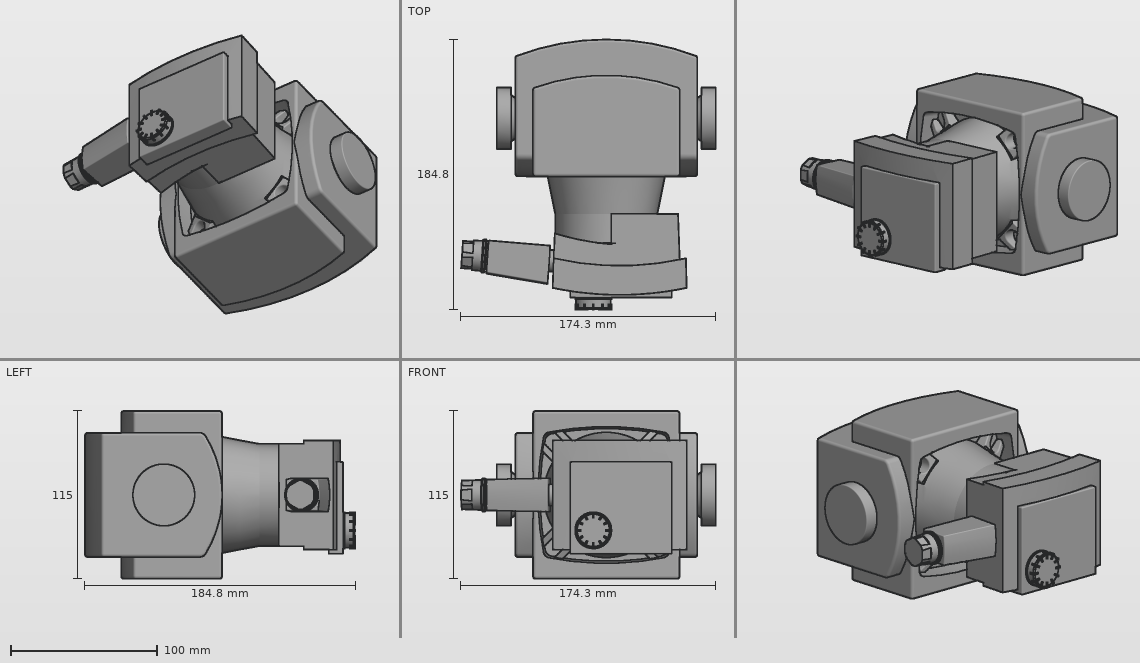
import cadquery as cq
import math


WIDE_LENGTH = 124.5
WIDE_HEIGHT = 85.0
WIDE_SIDE_REAR_Y = 42.3
WIDE_REAR_Y = 54.0
WIDE_SIDE_FRONT_Y = -27.2
WIDE_FRONT_CORNER_RADIUS = 4.8
TALL_LENGTH = 100.4
TALL_HEIGHT = 115.0
TALL_SIDE_REAR_Y = 20.5
TALL_REAR_Y = 29.4
SHELL_FRONT_Y = -40.0
SHELL_FILLET = 2.0
PICK_MARGIN = 1.8

CAVITY_CORNER = 42.3
CAVITY_BULGE = 46.8
CAVITY_CORNER_RADIUS = 5.2
CAVITY_DEPTH = 13.7
CAVITY_DRAFT = 6.0
CAVITY_FLOOR_Y = SHELL_FRONT_Y + CAVITY_DEPTH

PIPE_HALF_LENGTH = 75.0
PIPE_DIAMETER = 27.0
FLANGE_DIAMETER = 42.3
FLANGE_THICKNESS = 10.0
FLANGE_FILLET = 0.7
COLLAR_DIAMETER = 31.8
COLLAR_LENGTH = 3.5

MOTOR_DIAMETER = 70.0
MOTOR_BASE_DIAMETER = 85.8
MOTOR_CONE_END_Y = -65.5
MOTOR_END_Y = -85.4
EAR_COUNT = 4
EAR_WIDTH = 19.5
EAR_SLOT_WIDTH = 10.3
EAR_SLOT_START = 42.9
EAR_TOP_RADIUS = 41.8
EAR_TIP_RADIUS = 62.8
EAR_TOP_HEIGHT = 9.2
EAR_TIP_HEIGHT = 1.8
EAR_EDGE_FILLET = 1.0

MODULE_REAR_HEIGHT = 70.2
MODULE_FRONT_HEIGHT = 74.7
MODULE_BOW_X = 9.6
MODULE_STEP_Y = -95.7
MODULE_STEP_BOW_Y = -100.9
MODULE_FACE_Y = -116.0
MODULE_FACE_BOW_Y = -120.9
MODULE_LEFT_REAR = (-35.3, -78.7)
MODULE_LEFT_FRONT = (-36.8, MODULE_FACE_Y)
REAR_RIGHT_X = 49.2
REAR_RIGHT_SLANT = 1.8
FRONT_RIGHT_STEP_X = 54.5
FRONT_RIGHT_FACE_X = 55.0
NOTCH_X = 3.0
NOTCH_FRONT_Y = -86.1
NOTCH_MIDDLE = (-16.0, -83.5)
NOTCH_FILLET = 1.0

COVER_LEFT_X = -24.8
COVER_RIGHT_X = 45.0
COVER_BOTTOM_Z = -40.3
COVER_TOP_Z = 22.5
COVER_BACK_Y = -112.7
COVER_FRONT_Y = -122.7
COVER_FILLET = 1.0

KNOB_X = -8.9
KNOB_Z = -24.2
KNOB_DIAMETER = 24.0
KNOB_RIM_DIAMETER = 25.0
KNOB_RIM_THICKNESS = 1.1
KNOB_END_Y = -130.8
KNOB_CHAMFER = 1.0
TICK_COUNT = 12
TICK_WIDTH = 1.0
TICK_LENGTH = 3.7
TICK_INNER_RADIUS = 8.5
TICK_RISE = 0.4

CONNECTOR_X = -36.0
CONNECTOR_Y = -97.5
CONNECTOR_TILT = 4.0
STUB_DIAMETER = 15.0
STUB_DEPTH = 1.8
BODY_START = 3.0
BODY_END = 45.3
BODY_BASE_REAR = 10.3
BODY_BASE_FRONT = -15.2
BODY_BASE_HEIGHT = 23.0
BODY_TIP_REAR = 10.9
BODY_TIP_FRONT = -10.9
BODY_TIP_HEIGHT = 21.3
BODY_BOW = 1.1
BODY_FILLET = 0.7
NECK_DIAMETER = 17.0
RING_START = 46.4
RING_THICKNESS = 2.8
RING_DIAMETER = 23.0
RING_CHAMFER = 0.7
NUT_START = RING_START + RING_THICKNESS
NUT_END = 62.8
NUT_BASE_DIAMETER = 20.9
NUT_TIP_DIAMETER = 20.0
NUT_FLAT_COUNT = 6
NUT_FLAT_LENGTH = 7.4
NUT_FLAT_DISTANCE = 9.5


def cylinder_y(diameter, start_y, end_y):
    """Cylinder along Y, centred on the motor axis."""
    disc = cq.Workplane("XZ", origin=(0, start_y, 0)).circle(diameter / 2)
    return disc.extrude(start_y - end_y)


def bowed_block(length, height, side_rear_y, rear_y):
    """Block with a flat front and a rear bowed outwards."""
    half = length / 2
    return (
        cq.Workplane("XY", origin=(0, 0, -height / 2))
        .moveTo(-half, SHELL_FRONT_Y)
        .lineTo(half, SHELL_FRONT_Y)
        .lineTo(half, side_rear_y)
        .threePointArc((0, rear_y), (-half, side_rear_y))
        .close()
        .extrude(height)
    )


def make_wide_block():
    block = bowed_block(WIDE_LENGTH, WIDE_HEIGHT, WIDE_SIDE_REAR_Y, WIDE_REAR_Y)
    half = WIDE_HEIGHT / 2
    side_outline = (
        cq.Workplane("YZ", origin=(-WIDE_LENGTH / 2, 0, 0))
        .moveTo(WIDE_REAR_Y, -half)
        .lineTo(WIDE_REAR_Y, half)
        .lineTo(WIDE_SIDE_FRONT_Y, half)
        .threePointArc((SHELL_FRONT_Y, 0), (WIDE_SIDE_FRONT_Y, -half))
        .close()
        .extrude(WIDE_LENGTH)
    )
    front_corners = cq.selectors.BoxSelector(
        (-WIDE_LENGTH, WIDE_SIDE_FRONT_Y - PICK_MARGIN, -WIDE_HEIGHT),
        (WIDE_LENGTH, WIDE_SIDE_FRONT_Y + PICK_MARGIN, WIDE_HEIGHT),
    )
    side_outline = side_outline.edges("|X").edges(front_corners).fillet(WIDE_FRONT_CORNER_RADIUS)
    return block.intersect(side_outline).edges().fillet(SHELL_FILLET)


def make_tall_block():
    block = bowed_block(TALL_LENGTH, TALL_HEIGHT, TALL_SIDE_REAR_Y, TALL_REAR_Y)
    return block.edges().fillet(SHELL_FILLET)


def make_cavity():
    """Square pocket with outward-bowed sides, rounded corners and draft."""
    corner = CAVITY_CORNER
    bulge = CAVITY_BULGE
    outline = (
        cq.Workplane("XZ", origin=(0, SHELL_FRONT_Y, 0))
        .moveTo(-corner, -corner)
        .threePointArc((0, -bulge), (corner, -corner))
        .threePointArc((bulge, 0), (corner, corner))
        .threePointArc((0, bulge), (-corner, corner))
        .threePointArc((-bulge, 0), (-corner, -corner))
        .close()
    )
    pocket = outline.extrude(-CAVITY_DEPTH, taper=CAVITY_DRAFT)
    corner_edges = cq.selectors.BoxSelector(
        (-bulge, SHELL_FRONT_Y + PICK_MARGIN, -bulge),
        (bulge, CAVITY_FLOOR_Y - PICK_MARGIN, bulge),
    )
    return pocket.edges(corner_edges).fillet(CAVITY_CORNER_RADIUS)


def make_pump():
    """Straight pipe with a flange and a tapered collar at each end."""
    pipe_radius = PIPE_DIAMETER / 2
    flange_inner = PIPE_HALF_LENGTH - FLANGE_THICKNESS
    collar_inner = flange_inner - COLLAR_LENGTH
    half_profile = (
        cq.Workplane("XY")
        .moveTo(0, 0)
        .lineTo(PIPE_HALF_LENGTH, 0)
        .lineTo(PIPE_HALF_LENGTH, FLANGE_DIAMETER / 2)
        .lineTo(flange_inner, FLANGE_DIAMETER / 2)
        .lineTo(flange_inner, COLLAR_DIAMETER / 2)
        .lineTo(collar_inner, pipe_radius)
        .lineTo(0, pipe_radius)
        .close()
    )
    half = half_profile.revolve(360, (0, 0, 0), (1, 0, 0))
    flange_rims = cq.selectors.RadiusNthSelector(-1)
    half = half.edges(flange_rims).fillet(FLANGE_FILLET)
    return half.union(half.mirror("YZ"))


def make_ear():
    """Lug towards +X with a sloping front and a round-ended screw slot open at its tip."""
    lug = (
        cq.Workplane("XY", origin=(0, 0, -EAR_WIDTH / 2))
        .moveTo(0, CAVITY_FLOOR_Y)
        .lineTo(EAR_TIP_RADIUS, CAVITY_FLOOR_Y)
        .lineTo(EAR_TIP_RADIUS, CAVITY_FLOOR_Y - EAR_TIP_HEIGHT)
        .lineTo(EAR_TOP_RADIUS, CAVITY_FLOOR_Y - EAR_TOP_HEIGHT)
        .lineTo(0, CAVITY_FLOOR_Y - EAR_TOP_HEIGHT)
        .close()
        .extrude(EAR_WIDTH)
    )
    slot_length = EAR_TIP_RADIUS
    slot = (
        cq.Workplane("XZ", origin=(EAR_SLOT_START + slot_length / 2, CAVITY_FLOOR_Y, 0))
        .slot2D(slot_length, EAR_SLOT_WIDTH)
        .extrude(EAR_TOP_HEIGHT)
    )
    slope = cq.Vector(EAR_TIP_RADIUS - EAR_TOP_RADIUS, EAR_TOP_HEIGHT - EAR_TIP_HEIGHT, 0)
    slope_edges = cq.selectors.ParallelDirSelector(slope)
    return lug.cut(slot).edges(slope_edges).fillet(EAR_EDGE_FILLET)


def make_motor(cavity):
    """Tapered housing, a straight end and diagonal ears that reach the cavity wall."""
    motor = (
        cq.Workplane("XY")
        .moveTo(0, CAVITY_FLOOR_Y)
        .lineTo(MOTOR_BASE_DIAMETER / 2, CAVITY_FLOOR_Y)
        .lineTo(MOTOR_DIAMETER / 2, MOTOR_CONE_END_Y)
        .lineTo(MOTOR_DIAMETER / 2, MOTOR_END_Y)
        .lineTo(0, MOTOR_END_Y)
        .close()
        .revolve(360, (0, 0, 0), (0, 1, 0))
    )
    ear = make_ear()
    for index in range(EAR_COUNT):
        angle = (index + 0.5) * 360 / EAR_COUNT
        turned_ear = ear.rotate((0, 0, 0), (0, 1, 0), angle)
        motor = motor.union(turned_ear.intersect(cavity))
    return motor


def make_module_rear():
    """Rear part, notched on the left so that the motor shows there."""
    rear = (
        cq.Workplane("XY", origin=(0, 0, -MODULE_REAR_HEIGHT / 2))
        .moveTo(*MODULE_LEFT_REAR)
        .threePointArc(NOTCH_MIDDLE, (NOTCH_X, NOTCH_FRONT_Y))
        .lineTo(NOTCH_X, MOTOR_CONE_END_Y)
        .lineTo(REAR_RIGHT_X, MOTOR_CONE_END_Y)
        .lineTo(REAR_RIGHT_X + REAR_RIGHT_SLANT, MODULE_FACE_Y)
        .lineTo(*MODULE_LEFT_FRONT)
        .close()
        .extrude(MODULE_REAR_HEIGHT)
    )
    notch_middle_y = (NOTCH_FRONT_Y + MOTOR_CONE_END_Y) / 2
    for z in (-MODULE_REAR_HEIGHT / 2, MODULE_REAR_HEIGHT / 2):
        rim = cq.selectors.NearestToPointSelector((NOTCH_X, notch_middle_y, z))
        rear = rear.edges(rim).fillet(NOTCH_FILLET)
    return rear


def make_module_front():
    """Front part, bowed towards the front on both faces."""
    left_x, left_y = MODULE_LEFT_REAR
    front_x, front_y = MODULE_LEFT_FRONT
    left_step_x = left_x + (front_x - left_x) * (MODULE_STEP_Y - left_y) / (front_y - left_y)
    return (
        cq.Workplane("XY", origin=(0, 0, -MODULE_FRONT_HEIGHT / 2))
        .moveTo(left_step_x, MODULE_STEP_Y)
        .threePointArc((MODULE_BOW_X, MODULE_STEP_BOW_Y), (FRONT_RIGHT_STEP_X, MODULE_STEP_Y))
        .lineTo(FRONT_RIGHT_FACE_X, MODULE_FACE_Y)
        .threePointArc((MODULE_BOW_X, MODULE_FACE_BOW_Y), MODULE_LEFT_FRONT)
        .close()
        .extrude(MODULE_FRONT_HEIGHT)
    )


def make_cover():
    width = COVER_RIGHT_X - COVER_LEFT_X
    height = COVER_TOP_Z - COVER_BOTTOM_Z
    plate = (
        cq.Workplane("XZ", origin=(COVER_LEFT_X, COVER_BACK_Y, COVER_BOTTOM_Z))
        .rect(width, height, centered=False)
        .extrude(COVER_BACK_Y - COVER_FRONT_Y)
    )
    return plate.edges("|Y or <Y").fillet(COVER_FILLET)


def make_knob():
    """Round knob on a thin rim, with raised ticks around its end."""
    rim_end_y = COVER_FRONT_Y - KNOB_RIM_THICKNESS
    face_y = KNOB_END_Y + TICK_RISE
    knob = cylinder_y(KNOB_DIAMETER, COVER_FRONT_Y, face_y).faces("<Y").chamfer(KNOB_CHAMFER)
    knob = knob.union(cylinder_y(KNOB_RIM_DIAMETER, COVER_FRONT_Y, rim_end_y))
    tick_span = KNOB_RIM_DIAMETER / 2 - TICK_INNER_RADIUS
    tick = cq.Workplane("XY").box(tick_span, TICK_LENGTH, TICK_WIDTH).translate(
        (TICK_INNER_RADIUS + tick_span / 2, KNOB_END_Y + TICK_LENGTH / 2, 0)
    )
    for index in range(TICK_COUNT):
        knob = knob.union(tick.rotate((0, 0, 0), (0, 1, 0), index * 360 / TICK_COUNT))
    return knob.translate((KNOB_X, 0, KNOB_Z))


def connector_plane(distance):
    """Plane across the connector axis: local x points to the rear, local y along Z."""
    tilt = math.radians(CONNECTOR_TILT)
    axis = (-math.cos(tilt), math.sin(tilt), 0)
    rear = (math.sin(tilt), math.cos(tilt), 0)
    origin = (CONNECTOR_X + distance * axis[0], CONNECTOR_Y + distance * axis[1], 0)
    return cq.Plane(origin=origin, xDir=rear, normal=axis)


def connector_section(workplane, rear, front, height):
    """Rectangle whose front side is bowed outwards."""
    half = height / 2
    return (
        workplane.moveTo(rear, -half)
        .lineTo(rear, half)
        .lineTo(front, half)
        .threePointArc((front - BODY_BOW, 0), (front, -half))
        .close()
    )


def connector_cylinder(diameter, start, end):
    """Cylinder on the connector axis between two distances from the module."""
    return cq.Workplane(connector_plane(start)).circle(diameter / 2).extrude(end - start)


def make_stub():
    """Plug pin that joins the connector to the module."""
    return connector_cylinder(STUB_DIAMETER, -STUB_DEPTH, BODY_START)


def make_connector_body():
    """Tapered housing with a neck for the ring and the nut."""
    base = cq.Workplane(connector_plane(BODY_START))
    base = connector_section(base, BODY_BASE_REAR, BODY_BASE_FRONT, BODY_BASE_HEIGHT)
    tip = base.workplane(offset=BODY_END - BODY_START)
    tip = connector_section(tip, BODY_TIP_REAR, BODY_TIP_FRONT, BODY_TIP_HEIGHT)
    body = tip.loft(ruled=True).edges().fillet(BODY_FILLET)
    neck_start = BODY_END - 2 * BODY_FILLET
    return body.union(connector_cylinder(NECK_DIAMETER, neck_start, NUT_START))


def make_ring():
    """Chamfered ring around the neck."""
    ring = connector_cylinder(RING_DIAMETER, RING_START, NUT_START).edges().chamfer(RING_CHAMFER)
    return ring.cut(connector_cylinder(NECK_DIAMETER, RING_START, NUT_START))


def make_nut():
    """Slightly tapered nut with spanner flats at its tip."""
    nut = (
        cq.Workplane(connector_plane(NUT_START))
        .circle(NUT_BASE_DIAMETER / 2)
        .workplane(offset=NUT_END - NUT_START)
        .circle(NUT_TIP_DIAMETER / 2)
        .loft()
    )
    for index in range(NUT_FLAT_COUNT):
        flat = (
            cq.Workplane(connector_plane(NUT_END - NUT_FLAT_LENGTH))
            .transformed(rotate=(0, 0, index * 360 / NUT_FLAT_COUNT))
            .center(NUT_FLAT_DISTANCE + NUT_BASE_DIAMETER / 2, 0)
            .rect(NUT_BASE_DIAMETER, NUT_BASE_DIAMETER)
            .extrude(NUT_FLAT_LENGTH)
        )
        nut = nut.cut(flat)
    return nut


pump = make_pump()
cavity = make_cavity()
shell = make_wide_block().union(make_tall_block()).cut(cavity).cut(pump)
motor = make_motor(cavity)
cover = make_cover()
stub = make_stub()
module = make_module_rear().union(make_module_front()).cut(motor).cut(cover).cut(stub)
knob = make_knob()
connector_body = make_connector_body()
ring = make_ring()
nut = make_nut()

bodies = (shell, pump, motor, module, cover, knob, stub, connector_body, ring, nut)
result = cq.Compound.makeCompound([body.solids().val() for body in bodies])